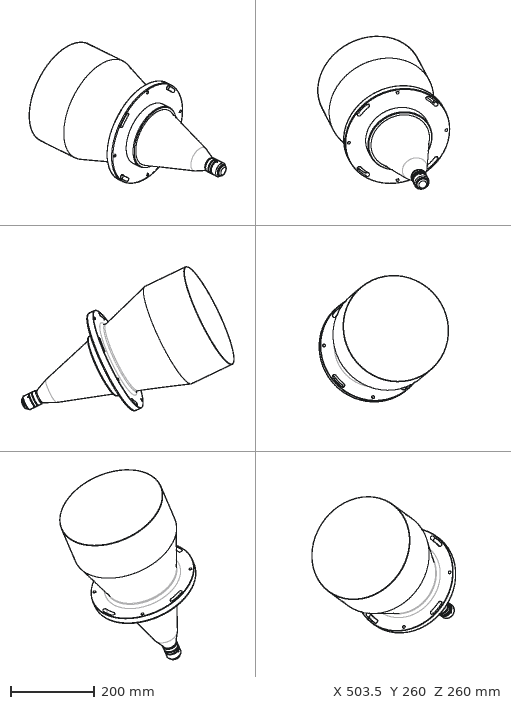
import cadquery as cq
import math

length = 503.5
drum_end = 110.0
taper_end = 235.5
flange_face = 246.0
flange_thickness = 18.0
collar_length = 24.0
nose_cone_end = 427.0
tip_cone_end = 458.5
flange_back = flange_face + flange_thickness
collar_end = flange_back + collar_length

drum_radius = 130.0
neck_radius = 89.0
neck_fillet = 7.0
collar_radius = 79.5
nose_cone_radius = 72.5
tip_cone_radius = 30.5
drum_chamfer = 1.0
rim_front_chamfer = 1.0
rim_back_length = 3.0
rim_back_depth = 1.0
collar_chamfer_length = 2.5
collar_chamfer_depth = 1.5

spigot_radius = 18.0
relief_radius = 16.5
relief_width = 3.0
spigot_chamfer_length = 3.0
spigot_chamfer_depth = 2.5
pilot_radius = 13.5
pilot_length = 6.0
pilot_chamfer_length = 2.5
pilot_chamfer_depth = 4.0
pilot_start = length - pilot_length
groove_positions = (471.0, 478.5)
groove_width = 2.0
groove_depth = 1.0
pin_hole_count = 3
pin_hole_position = 482.5
pin_hole_diameter = 2.5
pin_hole_depth = 5.0

pitch_radius = 121.0
opening_count = 4
slot_width = 9.0
slot_half_angle = 7.0
slot_first_angle = 45.0
screw_hole_diameter = 6.5


def turned_body():
    """Solid of revolution about X; the outline runs (x, radius) from the large end to the tip."""
    fillet_mid = neck_fillet * math.sqrt(0.5)
    fillet_start = flange_face - neck_fillet
    outline = (
        cq.Workplane("XY")
        .lineTo(0, drum_radius - drum_chamfer)
        .lineTo(drum_chamfer, drum_radius)
        .lineTo(drum_end, drum_radius)
        .lineTo(taper_end, neck_radius)
        .lineTo(fillet_start, neck_radius)
        .threePointArc(
            (fillet_start + fillet_mid, neck_radius + neck_fillet - fillet_mid),
            (flange_face, neck_radius + neck_fillet),
        )
        .lineTo(flange_face, drum_radius - rim_front_chamfer)
        .lineTo(flange_face + rim_front_chamfer, drum_radius)
        .lineTo(flange_back - rim_back_length, drum_radius)
        .lineTo(flange_back, drum_radius - rim_back_depth)
        .lineTo(flange_back, collar_radius)
        .lineTo(collar_end - collar_chamfer_length, collar_radius)
        .lineTo(collar_end, collar_radius - collar_chamfer_depth)
        .lineTo(collar_end, nose_cone_radius)
        .lineTo(nose_cone_end, tip_cone_radius)
        .lineTo(tip_cone_end, relief_radius)
        .lineTo(tip_cone_end + relief_width, relief_radius)
        .lineTo(tip_cone_end + relief_width, spigot_radius)
        .lineTo(pilot_start - spigot_chamfer_length, spigot_radius)
        .lineTo(pilot_start, spigot_radius - spigot_chamfer_depth)
        .lineTo(pilot_start, pilot_radius)
        .lineTo(length - pilot_chamfer_length, pilot_radius)
        .lineTo(length, pilot_radius - pilot_chamfer_depth)
        .lineTo(length, 0)
        .close()
    )
    return outline.revolve(360, (0, 0, 0), (1, 0, 0))


def spigot_groove(middle):
    """Ring that cuts a shallow square groove around the spigot."""
    return (
        cq.Workplane("YZ", origin=(middle - groove_width / 2, 0, 0))
        .circle(spigot_radius + groove_depth)
        .circle(spigot_radius - groove_depth)
        .extrude(groove_width)
    )


def pin_hole(angle):
    """Small radial hole in the spigot, turned by angle about X from +Z."""
    floor = spigot_radius - pin_hole_depth
    hole = (
        cq.Workplane("XY", origin=(pin_hole_position, 0, floor))
        .circle(pin_hole_diameter / 2)
        .extrude(2 * pin_hole_depth)
    )
    return hole.rotate((0, 0, 0), (1, 0, 0), angle)


def flange_plane():
    return cq.Workplane("YZ", origin=(flange_face, 0, 0))


def polar_point(radius, angle):
    """Point in the YZ plane, angle in degrees from +Y towards +Z."""
    turn = math.radians(angle)
    return (radius * math.cos(turn), radius * math.sin(turn))


def flange_slot(middle_angle):
    """Curved round-ended slot through the flange."""
    inner = pitch_radius - slot_width / 2
    outer = pitch_radius + slot_width / 2
    first = middle_angle - slot_half_angle
    last = middle_angle + slot_half_angle
    end_turn = math.degrees(slot_width / 2 / pitch_radius)
    return (
        flange_plane()
        .moveTo(*polar_point(inner, first))
        .threePointArc(polar_point(inner, middle_angle), polar_point(inner, last))
        .threePointArc(polar_point(pitch_radius, last + end_turn), polar_point(outer, last))
        .threePointArc(polar_point(outer, middle_angle), polar_point(outer, first))
        .threePointArc(polar_point(pitch_radius, first - end_turn), polar_point(inner, first))
        .close()
        .extrude(flange_thickness)
    )


def screw_holes():
    return (
        flange_plane()
        .polarArray(pitch_radius, 0, 360, opening_count)
        .circle(screw_hole_diameter / 2)
        .extrude(flange_thickness)
    )


result = turned_body()

for position in groove_positions:
    result = result.cut(spigot_groove(position))

for index in range(pin_hole_count):
    result = result.cut(pin_hole(index * 360 / pin_hole_count))

for index in range(opening_count):
    result = result.cut(flange_slot(slot_first_angle + index * 360 / opening_count))

result = result.cut(screw_holes())